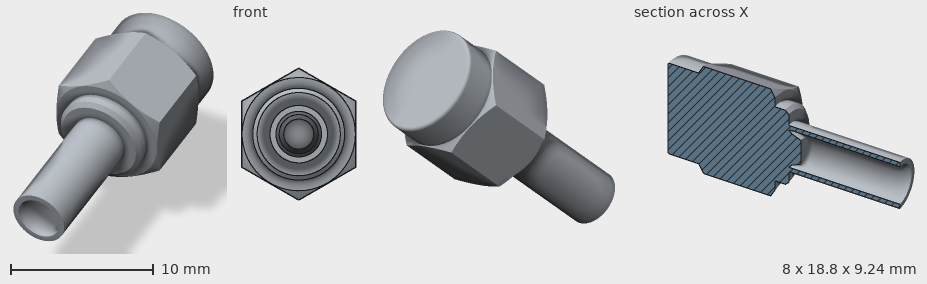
import cadquery as cq
import math

total_length = 18.8
tube_length = 8.99
collar_length = 1.1
hex_length = 6.19
hex_start = tube_length + collar_length
hex_end = hex_start + hex_length

tube_radius = 2.01
bore_radius = 1.6
collar_radius = 3.21
collar_chamfer = 0.3
hex_across_flats = 8.0
hex_bevel_radius = 3.97
hex_bevel_angle = 30.0
sleeve_radius = 3.93
sleeve_rim_fillet = 0.23

nose_middle_radius = 1.37
nose_tip_radius = 1.05
nose_base_length = 0.23
nose_tip_length = 0.75


def revolve_about_y(points):
    """Revolve a closed (radius, y) outline about the Y axis."""
    return cq.Workplane("XY").polyline(points).close().revolve(360, (0, 0, 0), (0, 1, 0))


def make_tube_and_collar():
    """Tube and front-chamfered collar, closed by the conical nose inside the bore."""
    nose_base = tube_length
    nose_middle = nose_base - nose_base_length
    nose_tip = nose_middle - nose_tip_length
    return revolve_about_y([
        (0, nose_tip),
        (nose_tip_radius, nose_tip),
        (nose_middle_radius, nose_middle),
        (bore_radius, nose_base),
        (bore_radius, 0),
        (tube_radius, 0),
        (tube_radius, tube_length),
        (collar_radius - collar_chamfer, tube_length),
        (collar_radius, tube_length + collar_chamfer),
        (collar_radius, hex_start),
        (0, hex_start),
    ])


def make_hex_nut():
    """Hexagon with corners on the Z axis and conical bevels at both ends."""
    corner_radius = hex_across_flats / 2 / math.cos(math.radians(30))
    bevel_length = (corner_radius - hex_bevel_radius) * math.tan(math.radians(hex_bevel_angle))
    corners = [
        (corner_radius * math.sin(math.radians(60 * i)), corner_radius * math.cos(math.radians(60 * i)))
        for i in range(6)
    ]
    prism = cq.Workplane("XZ", origin=(0, hex_start, 0)).polyline(corners).close().extrude(-hex_length)
    bevel_envelope = revolve_about_y([
        (0, hex_start),
        (hex_bevel_radius, hex_start),
        (corner_radius, hex_start + bevel_length),
        (corner_radius, hex_end - bevel_length),
        (hex_bevel_radius, hex_end),
        (0, hex_end),
    ])
    return prism.intersect(bevel_envelope)


def make_sleeve():
    """Round sleeve behind the hexagon, with a rounded end rim."""
    sleeve = cq.Workplane("XZ", origin=(0, hex_end, 0)).circle(sleeve_radius).extrude(hex_end - total_length)
    return sleeve.faces(">Y").edges().fillet(sleeve_rim_fillet)


result = make_tube_and_collar().union(make_hex_nut()).union(make_sleeve())